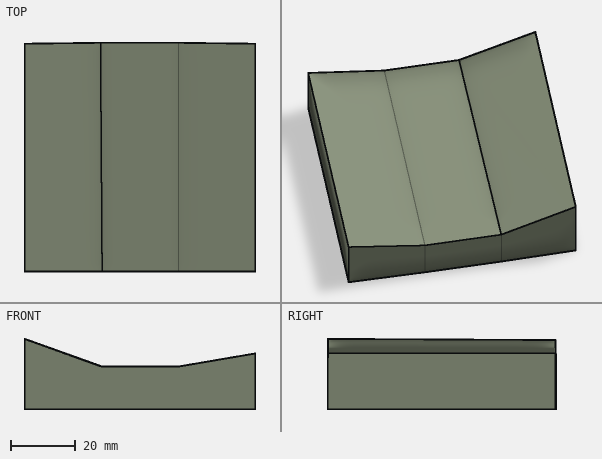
import cadquery as cq

width = 71.15
depth = 70.5
left_height = 21.8
right_height = 17.3

floor_height = 13.2
floor_left_front = -11.7
floor_left_back = -12.2
floor_right = 11.8
left_wall_drop = 0.35

back_corner_setback = 0.3
front_lean = 0.1

half_width = width / 2
half_depth = depth / 2
overcut = 3.55


def make_block():
    """Flat-bottomed block whose back face angles in towards both side faces."""
    corner_y = half_depth - back_corner_setback
    outline = [
        (-half_width, -half_depth),
        (half_width, -half_depth),
        (half_width, corner_y),
        (floor_right, half_depth),
        (floor_left_back, half_depth),
        (-half_width, corner_y),
    ]
    return cq.Workplane("XY").polyline(outline).close().extrude(left_height)


def channel_section(floor_left, left_edge_height):
    """Points around the empty space above the channel, in X and Z."""
    top = left_height + overcut
    return [
        (-half_width, left_edge_height),
        (floor_left, floor_height),
        (floor_right, floor_height),
        (half_width, right_height),
        (half_width, top),
        (-half_width, top),
    ]


def make_channel():
    """Space above the channel, changing slightly from front to back."""
    front = channel_section(floor_left_front, left_height)
    back = channel_section(floor_left_back, left_height - left_wall_drop)
    return (
        cq.Workplane("XZ", origin=(0, -half_depth, 0))
        .polyline(front).close()
        .workplane(offset=-depth)
        .polyline(back).close()
        .loft(ruled=True)
    )


def make_front_wedge():
    """Thin wedge that leans the front face back from its bottom edge."""
    section = [
        (-half_depth, 0),
        (-half_depth + front_lean, left_height),
        (-half_depth, left_height),
    ]
    return cq.Workplane("YZ").polyline(section).close().extrude(half_width, both=True)


result = make_block().cut(make_channel()).cut(make_front_wedge())